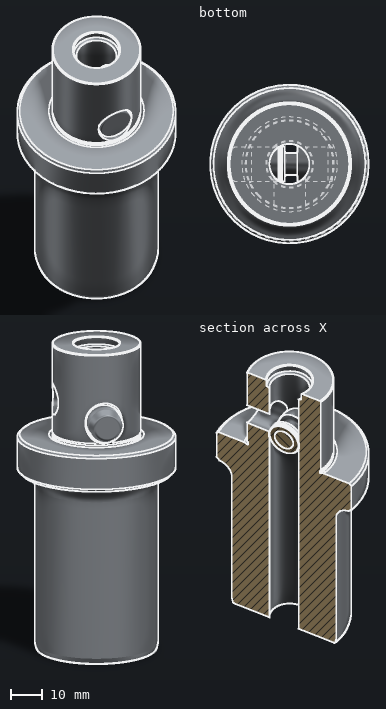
import cadquery as cq
import math

TOTAL_HEIGHT = 100.0
SHANK_RADIUS = 19.5
SHANK_TAPER_HEIGHT = 2.0
SHANK_TAPER_WIDTH = 0.4
SHANK_EDGE_CHAMFER = 0.3
COLLAR_RADIUS = 25.0
COLLAR_BOTTOM = 58.0
COLLAR_TOP = 70.0
COLLAR_TOP_CHAMFER = 0.8
COLLAR_BOTTOM_CHAMFER = 1.1
NECK_FILLET = 4.7
SPIGOT_RADIUS = 14.0
SPIGOT_CHAMFER = 0.3

RELIEF_OUTER_RADIUS = 15.0
RELIEF_FLOOR_RADIUS = 13.9
RELIEF_INNER_RADIUS = 13.7
RELIEF_HEIGHT = 1.0
RELIEF_TAPER_HEIGHT = 0.7
RELIEF_DEPTH = 0.4

BORE_RADIUS = 6.3
COUNTERBORE_RADIUS = 7.2
COUNTERBORE_DEPTH = 2.5
COUNTERBORE_CHAMFER = 0.3
BORE_CONE_HEIGHT = 0.5

BOLT_RADIUS = 5.5
BOLT_HEIGHT = 77.5
MOUTH_RADIUS = 6.6
MOUTH_DEPTH = 2.0
ACCESS_RADIUS = 5.0
ACCESS_HEIGHT = 82.3

NOSE_END = -19.5
NOSE_CONE_ANGLE = 30.0
NOSE_FACE_RADIUS = 4.1
NOSE_FILLET = 1.0
RING_START = -3.5
RING_WIDTH = 0.8
RING_BORE_RADIUS = 3.5
RING_CHAMFER_DEPTH = 0.2
TAIL_END = 13.5
TAIL_FILLET = 0.5
TAIL_CHAMFER_WIDTH = 0.4
TAIL_CHAMFER_DEPTH = 0.2
WAIST_RADIUS = 3.5
WAIST_START = -1.4
WAIST_END = 2.5
WAIST_FILLET = 0.5

RING_END = RING_START + RING_WIDTH


def x_cylinder(radius, start, end):
    """Cylinder on the bolt axis from X = start to X = end."""
    return cq.Workplane("YZ", origin=(start, 0, BOLT_HEIGHT)).circle(radius).extrude(end - start)


def x_cone(start_radius, end_radius, start, end):
    """Truncated cone on the bolt axis from X = start to X = end, in either direction."""
    base = cq.Vector(start, 0, BOLT_HEIGHT)
    direction = cq.Vector(end - start, 0, 0)
    return cq.Workplane(cq.Solid.makeCone(start_radius, end_radius, abs(end - start), base, direction))


def housing_blank():
    """Solid of revolution with shank, filleted neck, collar, relief groove and spigot."""
    taper_radius = SHANK_RADIUS - SHANK_TAPER_WIDTH
    chamfer_radius = COLLAR_RADIUS - COLLAR_BOTTOM_CHAMFER
    fillet_centre_radius = SHANK_RADIUS + NECK_FILLET
    fillet_start = COLLAR_BOTTOM - NECK_FILLET

    def fillet_z(radius):
        return fillet_start + math.sqrt(NECK_FILLET**2 - (fillet_centre_radius - radius) ** 2)

    mid_radius = SHANK_RADIUS + NECK_FILLET * (1 - math.cos(math.radians(45)))
    return (
        cq.Workplane("XZ")
        .moveTo(0, 0)
        .lineTo(taper_radius - SHANK_EDGE_CHAMFER, 0)
        .lineTo(taper_radius, SHANK_EDGE_CHAMFER)
        .lineTo(SHANK_RADIUS, SHANK_TAPER_HEIGHT)
        .lineTo(SHANK_RADIUS, fillet_start)
        .threePointArc((mid_radius, fillet_z(mid_radius)), (chamfer_radius, fillet_z(chamfer_radius)))
        .lineTo(COLLAR_RADIUS, COLLAR_BOTTOM + COLLAR_BOTTOM_CHAMFER)
        .lineTo(COLLAR_RADIUS, COLLAR_TOP - COLLAR_TOP_CHAMFER)
        .lineTo(COLLAR_RADIUS - COLLAR_TOP_CHAMFER, COLLAR_TOP)
        .lineTo(RELIEF_OUTER_RADIUS, COLLAR_TOP)
        .lineTo(RELIEF_FLOOR_RADIUS, COLLAR_TOP - RELIEF_DEPTH)
        .lineTo(RELIEF_INNER_RADIUS, COLLAR_TOP - RELIEF_DEPTH)
        .lineTo(RELIEF_INNER_RADIUS, COLLAR_TOP + RELIEF_HEIGHT - RELIEF_TAPER_HEIGHT)
        .lineTo(SPIGOT_RADIUS, COLLAR_TOP + RELIEF_HEIGHT)
        .lineTo(SPIGOT_RADIUS, TOTAL_HEIGHT - SPIGOT_CHAMFER)
        .lineTo(SPIGOT_RADIUS - SPIGOT_CHAMFER, TOTAL_HEIGHT)
        .lineTo(0, TOTAL_HEIGHT)
        .close()
        .revolve(360, (0, 0), (0, 1))
    )


def axial_bore():
    """Through bore that widens by a cone into a chamfered counterbore at the top."""
    cone_top = TOTAL_HEIGHT - COUNTERBORE_DEPTH
    return (
        cq.Workplane("XZ")
        .moveTo(0, 0)
        .lineTo(BORE_RADIUS, 0)
        .lineTo(BORE_RADIUS, cone_top - BORE_CONE_HEIGHT)
        .lineTo(COUNTERBORE_RADIUS, cone_top)
        .lineTo(COUNTERBORE_RADIUS, TOTAL_HEIGHT - COUNTERBORE_CHAMFER)
        .lineTo(COUNTERBORE_RADIUS + COUNTERBORE_CHAMFER, TOTAL_HEIGHT)
        .lineTo(0, TOTAL_HEIGHT)
        .close()
        .revolve(360, (0, 0), (0, 1))
    )


def cross_bore():
    """Through bore along X with a tapered mouth on both sides."""
    bore = x_cylinder(BOLT_RADIUS, -SPIGOT_RADIUS, SPIGOT_RADIUS)
    for side in (-1, 1):
        mouth_start = side * SPIGOT_RADIUS
        mouth_end = side * (SPIGOT_RADIUS - MOUTH_DEPTH)
        bore = bore.union(x_cone(MOUTH_RADIUS, BOLT_RADIUS, mouth_start, mouth_end))
    return bore


def access_hole():
    """Radial hole from the +Y side into the axial bore."""
    return (
        cq.Workplane("XZ", origin=(0, 0, ACCESS_HEIGHT))
        .circle(ACCESS_RADIUS)
        .extrude(-SPIGOT_RADIUS)
    )


def make_housing():
    """Housing with all its bores and holes."""
    return housing_blank().cut(axial_bore()).cut(cross_bore()).cut(access_hole())


def make_nose_bolt():
    """Nose half: coned outer end, and a spigot on the inner end that carries the ring."""
    cone_length = (BOLT_RADIUS - NOSE_FACE_RADIUS) / math.tan(math.radians(NOSE_CONE_ANGLE))
    cone_end = NOSE_END + cone_length
    cone = x_cone(NOSE_FACE_RADIUS, BOLT_RADIUS, NOSE_END, cone_end)
    nose = x_cylinder(BOLT_RADIUS, cone_end, RING_START).union(cone)
    for edge_x in (NOSE_END, cone_end):
        edge_centre = (edge_x, 0, BOLT_HEIGHT)
        nose = nose.edges(cq.selectors.NearestToPointSelector(edge_centre)).fillet(NOSE_FILLET)
    return nose.union(x_cylinder(RING_BORE_RADIUS, RING_START, RING_END))


def make_seal_ring():
    """Ring between the two bolt halves, with a rim that slopes down to both sides."""
    rim_radius = BOLT_RADIUS - RING_CHAMFER_DEPTH
    return (
        cq.Workplane("XY", origin=(RING_START, 0, BOLT_HEIGHT))
        .moveTo(0, RING_BORE_RADIUS)
        .lineTo(0, rim_radius)
        .lineTo(RING_WIDTH / 2, BOLT_RADIUS)
        .lineTo(RING_WIDTH, rim_radius)
        .lineTo(RING_WIDTH, RING_BORE_RADIUS)
        .close()
        .revolve(360, (0, 0), (1, 0))
    )


def make_tail_bolt():
    """Tail half: a flange and a plunger joined by a filleted waist."""
    flange_face = BOLT_RADIUS - TAIL_CHAMFER_DEPTH
    chamfer_end = RING_END + TAIL_CHAMFER_WIDTH
    flange_cone = x_cone(flange_face, BOLT_RADIUS, RING_END, chamfer_end)
    flange = x_cylinder(BOLT_RADIUS, chamfer_end, WAIST_START).union(flange_cone)
    plunger = x_cylinder(BOLT_RADIUS, WAIST_END, TAIL_END).faces(">X").edges().fillet(TAIL_FILLET)
    waist_length = WAIST_END - WAIST_START
    fillet_radius = WAIST_RADIUS + WAIST_FILLET
    arc_inset = WAIST_FILLET * (1 - math.cos(math.radians(45)))
    waist = (
        cq.Workplane("XY", origin=(WAIST_START, 0, BOLT_HEIGHT))
        .moveTo(0, 0)
        .lineTo(0, fillet_radius)
        .threePointArc((arc_inset, WAIST_RADIUS + arc_inset), (WAIST_FILLET, WAIST_RADIUS))
        .lineTo(waist_length - WAIST_FILLET, WAIST_RADIUS)
        .threePointArc(
            (waist_length - arc_inset, WAIST_RADIUS + arc_inset),
            (waist_length, fillet_radius),
        )
        .lineTo(waist_length, 0)
        .close()
        .revolve(360, (0, 0), (1, 0))
    )
    return flange.union(waist).union(plunger)


housing = make_housing()
nose_bolt = make_nose_bolt()
seal_ring = make_seal_ring()
tail_bolt = make_tail_bolt()

result = cq.Compound.makeCompound(
    [housing.val(), nose_bolt.val(), seal_ring.val(), tail_bolt.val()]
)